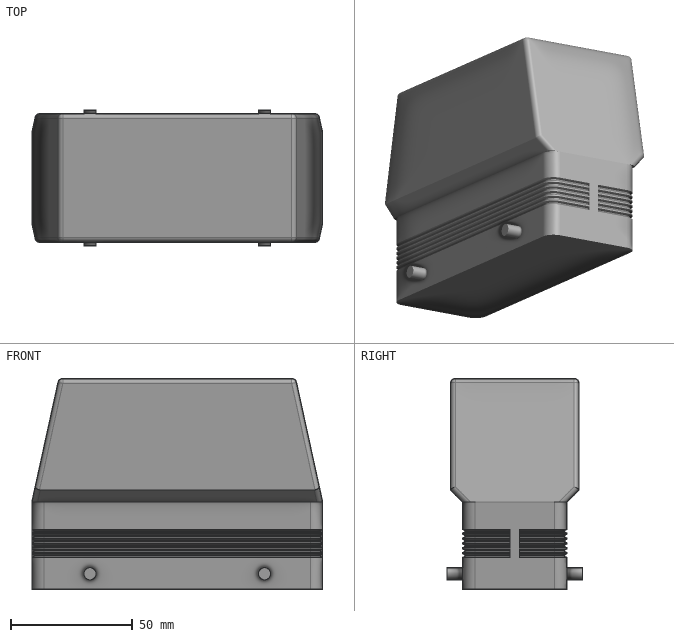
import cadquery as cq
import math

length = 120.0
base_width = 43.0
base_height = 36.0
corner_radius = 5.0

total_height = 87.0
hood_width = 53.0
hood_top_length = 97.7
hood_fillet = 2.0
shoulder_height = (hood_width - base_width) / 2

pin_diameter = 5.0
pin_span = 56.0
pin_spacing = 72.0
pin_z = 6.5

groove_count = 6
groove_height = 1.5
groove_land = 0.45
groove_depth = 1.0
groove_flank_angle = 30.0
groove_pitch = groove_height + groove_land
groove_floor = groove_height - 2 * groove_depth * math.tan(math.radians(groove_flank_angle))
grooves_bottom = 13.2
end_gap = 4.1


def make_base():
    block = cq.Workplane("XY").box(length, base_width, base_height, centered=(True, True, False))
    return block.edges("|Z").fillet(corner_radius)


def make_hood():
    """Trapezoid along X intersected with the shouldered cross-section, edges rounded."""
    front = (
        cq.Workplane("XZ")
        .moveTo(-length / 2, base_height)
        .lineTo(length / 2, base_height)
        .lineTo(hood_top_length / 2, total_height)
        .lineTo(-hood_top_length / 2, total_height)
        .close()
        .extrude(hood_width / 2, both=True)
    )
    shoulder_z = base_height + shoulder_height
    section = (
        cq.Workplane("YZ")
        .moveTo(-base_width / 2, base_height)
        .lineTo(base_width / 2, base_height)
        .lineTo(hood_width / 2, shoulder_z)
        .lineTo(hood_width / 2, total_height)
        .lineTo(-hood_width / 2, total_height)
        .lineTo(-hood_width / 2, shoulder_z)
        .close()
        .extrude(length / 2, both=True)
    )
    hood = front.intersect(section)
    end_edges = hood.faces("<X or >X").edges("not <Z")
    top_edges = hood.faces(">Z").edges("|X")
    return hood.newObject(end_edges.vals() + top_edges.vals()).fillet(hood_fillet)


def make_pins():
    return (
        cq.Workplane("XZ")
        .pushPoints([(-pin_spacing / 2, pin_z), (pin_spacing / 2, pin_z)])
        .circle(pin_diameter / 2)
        .extrude(pin_span / 2, both=True)
    )


def make_half_groove(z):
    """Flat-bottomed V cutter running from the gap on one end, along the -Y side, to the other end."""
    end_x = length / 2
    side_y = base_width / 2
    arc_inset = corner_radius * (1 - math.sqrt(0.5))
    path = (
        cq.Workplane("XY", origin=(0, 0, z))
        .moveTo(-end_x, -end_gap / 2)
        .lineTo(-end_x, -side_y + corner_radius)
        .threePointArc((-end_x + arc_inset, -side_y + arc_inset), (-end_x + corner_radius, -side_y))
        .lineTo(end_x - corner_radius, -side_y)
        .threePointArc((end_x - arc_inset, -side_y + arc_inset), (end_x, -side_y + corner_radius))
        .lineTo(end_x, -end_gap / 2)
    )
    profile = (
        cq.Workplane("XZ", origin=(-end_x, -end_gap / 2, z))
        .moveTo(0, -groove_height / 2)
        .lineTo(groove_depth, -groove_floor / 2)
        .lineTo(groove_depth, groove_floor / 2)
        .lineTo(0, groove_height / 2)
        .close()
    )
    return profile.sweep(path)


result = make_base().union(make_hood()).union(make_pins())
lowest_groove_z = grooves_bottom + groove_height / 2
for index in range(groove_count):
    groove = make_half_groove(lowest_groove_z + index * groove_pitch)
    result = result.cut(groove).cut(groove.mirror("XZ"))